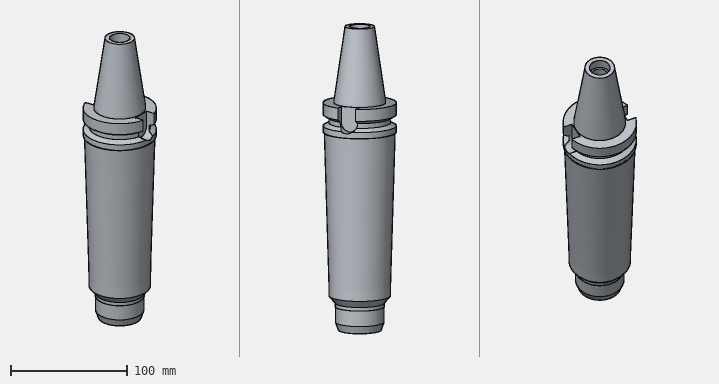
import cadquery as cq

total_height = 265.5
taper_base_z = 200.0
flange_top_z = 198.8
flange_bottom_z = 188.5
groove_top_z = 185.5
groove_bottom_z = 181.3
rim_top_z = 178.5
rim_bottom_z = 173.0
body_bottom_z = 39.0
collar_bottom_z = 30.0
neck_top_z = 23.5
nose_top_z = 20.5
nose_chamfer_z = 7.0

taper_top_radius = 12.7
taper_base_radius = 22.3
flange_radius = 31.5
groove_radius = 26.5
body_top_radius = 30.5
collar_radius = 26.5
neck_radius = 21.2
nose_radius = 21.0
nose_end_radius = 18.5

slot_width = 16.2
slot_bottom_z = 177.0
slot_floor_x = 22.5

counterbore_radius = 8.8
counterbore_depth = 8.5
thread_bore_radius = 7.0
thread_bore_depth = 30.0
through_bore_radius = 3.7


def make_turned_body():
    """Revolve the half outline of the holder about Z."""
    outline = [
        (0, 0),
        (nose_end_radius, 0),
        (nose_radius, nose_chamfer_z),
        (nose_radius, nose_top_z),
        (neck_radius, nose_top_z),
        (neck_radius, neck_top_z),
        (collar_radius, collar_bottom_z),
        (collar_radius, body_bottom_z),
        (body_top_radius, rim_bottom_z),
        (flange_radius, rim_bottom_z),
        (flange_radius, rim_top_z),
        (groove_radius, groove_bottom_z),
        (groove_radius, groove_top_z),
        (flange_radius, flange_bottom_z),
        (flange_radius, flange_top_z),
        (taper_base_radius, flange_top_z),
        (taper_base_radius, taper_base_z),
        (taper_top_radius, total_height),
        (0, total_height),
    ]
    return cq.Workplane("XZ").polyline(outline).close().revolve(360, (0, 0), (0, 1))


def make_drive_slot():
    """Round-bottomed slot cutter reaching outward along +X from the slot floor."""
    half_width = slot_width / 2
    arc_center_z = slot_bottom_z + half_width
    return (
        cq.Workplane("YZ", origin=(slot_floor_x, 0, 0))
        .moveTo(-half_width, flange_top_z)
        .lineTo(-half_width, arc_center_z)
        .threePointArc((0, slot_bottom_z), (half_width, arc_center_z))
        .lineTo(half_width, flange_top_z)
        .close()
        .extrude(flange_radius)
    )


def make_bore_step(radius, depth):
    """Cylinder reaching down from the top face of the taper."""
    return cq.Workplane("XY", origin=(0, 0, total_height)).circle(radius).extrude(-depth)


result = make_turned_body()

for slot_angle in (0, 180):
    result = result.cut(make_drive_slot().rotate((0, 0, 0), (0, 0, 1), slot_angle))

bore_steps = [
    (counterbore_radius, counterbore_depth),
    (thread_bore_radius, thread_bore_depth),
    (through_bore_radius, total_height),
]
for bore_radius, bore_depth in bore_steps:
    result = result.cut(make_bore_step(bore_radius, bore_depth))